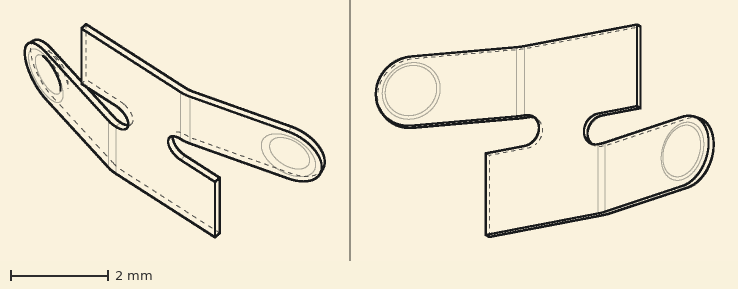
import cadquery as cq
import math

length = 7.95
height = 3.96
thickness = 0.15
body_width = 3.58
arm_width = 1.51
slot_width = 0.67
bend_start = 0.87
bend_angle = 15.0
bend_radius = 0.86
dimple_diameter = 1.23
bowl_diameter = 0.91
dimple_depth = 0.215

lean = math.radians(bend_angle)
arm_radius = arm_width / 2
arm_middle = height / 2 - arm_radius
slot_radius = slot_width / 2
slot_middle = height / 2 - arm_width - slot_radius
bend_end_x = bend_start + bend_radius * math.sin(lean)
bend_end_y = bend_radius * (1 - math.cos(lean))

arm_plane = cq.Plane(
    origin=(bend_end_x, bend_end_y, arm_middle),
    xDir=(math.cos(lean), math.sin(lean), 0),
    normal=(-math.sin(lean), math.cos(lean), 0),
)
straight_length = (length / 2 - bend_end_x) / math.cos(lean) - arm_radius

rim_angle = 2 * math.atan(2 * dimple_depth / dimple_diameter)
bowl_radius = bowl_diameter / 2 / math.sin(rim_angle)
rim_radius = (dimple_diameter - bowl_diameter) / 2 / math.sin(rim_angle)


def half_turn(shape):
    """Repeat a feature on the opposite arm."""
    return shape.rotate((0, 0, 0), (0, 1, 0), 180)


def make_body():
    """Flat S-shaped centre, up to the two bend lines."""
    x = body_width / 2
    z = height / 2
    slot_top = slot_middle + slot_radius
    slot_bottom = slot_middle - slot_radius
    slot_end = bend_start - slot_radius
    outline = (
        cq.Workplane("XZ")
        .moveTo(-x, z)
        .lineTo(bend_start, z)
        .lineTo(bend_start, slot_top)
        .threePointArc((slot_end, slot_middle), (bend_start, slot_bottom))
        .lineTo(x, slot_bottom)
        .lineTo(x, -z)
        .lineTo(-bend_start, -z)
        .lineTo(-bend_start, -slot_top)
        .threePointArc((-slot_end, -slot_middle), (-bend_start, -slot_bottom))
        .lineTo(-x, -slot_bottom)
        .close()
    )
    return outline.extrude(-thickness)


def make_bend():
    """Curved strip between the flat body and the straight arm."""
    def bend_point(radius, angle):
        return (bend_start + radius * math.sin(angle), bend_radius - radius * math.cos(angle))

    inner_radius = bend_radius - thickness
    return (
        cq.Workplane("XY")
        .workplane(offset=arm_middle - arm_radius)
        .moveTo(*bend_point(bend_radius, 0))
        .threePointArc(bend_point(bend_radius, lean / 2), bend_point(bend_radius, lean))
        .lineTo(*bend_point(inner_radius, lean))
        .threePointArc(bend_point(inner_radius, lean / 2), bend_point(inner_radius, 0))
        .close()
        .extrude(arm_width)
    )


def make_straight_arm():
    """Straight arm with a full round end and a hole for the dimple."""
    arm = (
        cq.Workplane(arm_plane)
        .moveTo(0, -arm_radius)
        .lineTo(straight_length, -arm_radius)
        .threePointArc((straight_length + arm_radius, 0), (straight_length, arm_radius))
        .lineTo(0, arm_radius)
        .close()
        .extrude(thickness)
    )
    hole = cq.Workplane(arm_plane).center(straight_length, 0).circle(dimple_diameter / 2)
    return arm.cut(hole.extrude(thickness))


def make_dimple():
    """Pressed dimple of constant thickness, hollow in front and domed behind."""
    bowl_centre = dimple_depth - bowl_radius

    def rim_point(offset, angle):
        radius = rim_radius - offset
        return (dimple_diameter / 2 - radius * math.sin(angle), rim_radius - radius * math.cos(angle))

    def bowl_point(offset, angle):
        radius = bowl_radius + offset
        return (radius * math.sin(angle), bowl_centre + radius * math.cos(angle))

    section_plane = cq.Plane(
        origin=arm_plane.toWorldCoords((straight_length, 0, 0)).toTuple(),
        xDir=arm_plane.xDir.toTuple(),
        normal=arm_plane.yDir.multiply(-1).toTuple(),
    )
    return (
        cq.Workplane(section_plane)
        .moveTo(*rim_point(0, 0))
        .threePointArc(rim_point(0, rim_angle / 2), rim_point(0, rim_angle))
        .threePointArc(bowl_point(0, rim_angle / 2), bowl_point(0, 0))
        .lineTo(*bowl_point(thickness, 0))
        .threePointArc(bowl_point(thickness, rim_angle / 2), bowl_point(thickness, rim_angle))
        .threePointArc(rim_point(thickness, rim_angle / 2), rim_point(thickness, 0))
        .close()
        .revolve(360, (0, 0, 0), (0, 1, 0))
    )


arm = make_bend().union(make_straight_arm()).union(make_dimple())
result = make_body().union(arm).union(half_turn(arm))